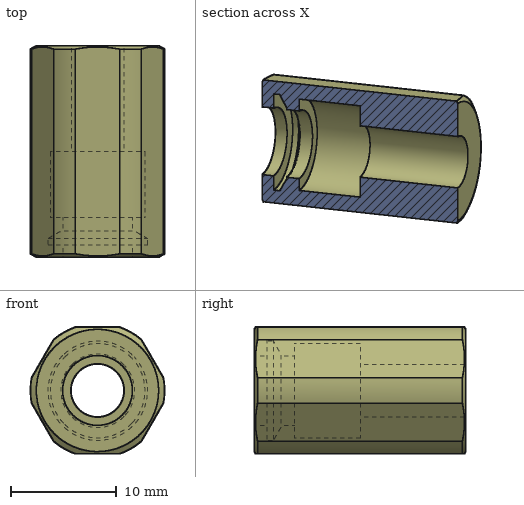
import cadquery as cq
import math

length = 20.0
across_flats = 12.0
corner_diameter = 12.7
end_face_diameter = 11.55
end_chamfer_angle = 30.0

through_diameter = 5.0
entry_diameter = 6.6
recess_start = 1.2
recess_taper_start = 1.8
recess_end = 2.5
recess_diameter = 9.4
recess_end_diameter = 6.95
cavity_start = 3.8
cavity_end = length / 2
cavity_diameter = 8.92


def cylinder(diameter, start, depth):
    """Cylinder along +Y whose near face is at Y = start."""
    return cq.Workplane("XZ", origin=(0, start, 0)).circle(diameter / 2).extrude(-depth)


def hex_prism():
    across_corners = across_flats / math.cos(math.radians(30))
    return cq.Workplane("XZ").polygon(6, across_corners).extrude(-length)


def corner_envelope():
    """Turned bar with conical ends that trims the corners of the hexagon."""
    chamfer_radial = (corner_diameter - end_face_diameter) / 2
    chamfer_axial = chamfer_radial * math.tan(math.radians(end_chamfer_angle))
    outline = [
        (0, 0),
        (end_face_diameter / 2, 0),
        (corner_diameter / 2, chamfer_axial),
        (corner_diameter / 2, length - chamfer_axial),
        (end_face_diameter / 2, length),
        (0, length),
    ]
    return cq.Workplane("XY").polyline(outline).close().revolve(360, (0, 0), (0, 1))


def tapered_recess():
    """Internal recess, straight behind the entry, then tapering to a small ledge."""
    outline = [
        (0, recess_start),
        (recess_diameter / 2, recess_start),
        (recess_diameter / 2, recess_taper_start),
        (recess_end_diameter / 2, recess_end),
        (0, recess_end),
    ]
    return cq.Workplane("XY").polyline(outline).close().revolve(360, (0, 0), (0, 1))


result = hex_prism().intersect(corner_envelope())
result = result.cut(cylinder(through_diameter, 0, length))
result = result.cut(cylinder(entry_diameter, 0, cavity_start))
result = result.cut(tapered_recess())
result = result.cut(cylinder(cavity_diameter, cavity_start, cavity_end - cavity_start))